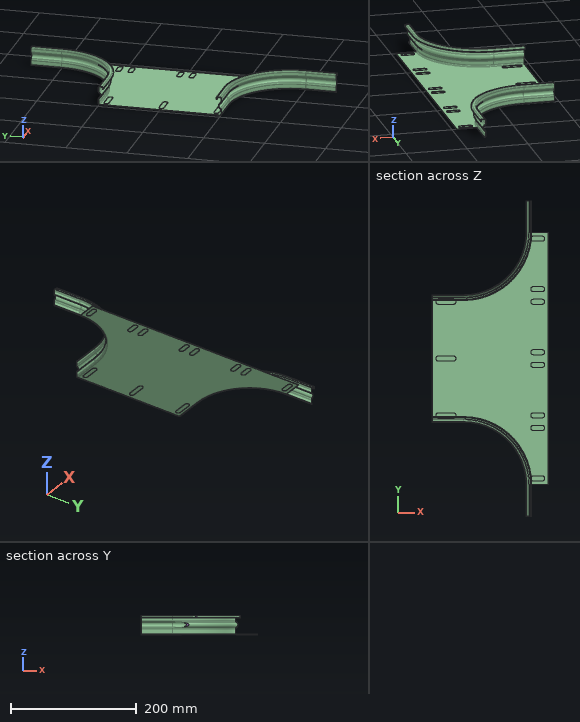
import cadquery as cq
import math

total_x = 185.0
total_y = 501.0
height = 31.0
sheet = 1.0

straight = 50.0
turn_radius = 99.0
turn_x = straight
turn_y = total_y / 2 - straight
wall_x = turn_x + turn_radius
wall_y = turn_y - turn_radius

bend_radius = 2.5
bead_depth = 4.0
bead_half_height = 7.0
bead_crest_radius = 4.5
bead_z = 16.0
lip_width = 9.0
curl_radius = 2.5
curl_end_angle = -60
touch_gap = 0.005

slot_width = 8.0
slot_depth = 0.5
mouth_slot_start = 6.0
mouth_slot_length = 32.0
mouth_slot_spacing = 90.0
back_slot_length = 22.0
back_slot_margin = 6.0
back_slot_y = (10.0, 90.0, 110.0, 190.5)


def section_bends():
    """Bends from floor to lip: centre, outer skin radius, start and end angle, thickness direction."""
    radius_sum = (bead_depth**2 + bead_half_height**2) / (2 * bead_depth)
    root_radius = radius_sum - bead_crest_radius
    sweep = math.degrees(math.asin(bead_half_height / radius_sum))
    curl_centre = (lip_width - curl_radius, height - curl_radius)
    return [
        ((bend_radius, bend_radius), bend_radius, 270, 180, -1),
        ((root_radius, bead_z - bead_half_height), root_radius, 180, 180 - sweep, -1),
        ((bead_depth - bead_crest_radius, bead_z), bead_crest_radius, -sweep, sweep, 1),
        ((root_radius, bead_z + bead_half_height), root_radius, 180 + sweep, 180, -1),
        ((bend_radius, height - bend_radius), bend_radius, 180, 90, -1),
        (curl_centre, curl_radius, 90, curl_end_angle, -1),
    ]


def skin_arcs(depth):
    """Start, middle and end point of every bend on the skin at this depth in the sheet."""
    arcs = []
    for (u, z), radius, start, end, direction in section_bends():
        skin_radius = radius + direction * depth
        angles = [math.radians(a) for a in (start, (start + end) / 2, end)]
        arcs.append([(u + skin_radius * math.cos(a), z + skin_radius * math.sin(a)) for a in angles])
    return arcs


def wall_section(plane):
    """Closed wall section: up the outer skin and back down the inner one."""
    outer = skin_arcs(0)
    inner = [arc[::-1] for arc in reversed(skin_arcs(sheet))]
    section = cq.Workplane(plane).moveTo(*outer[0][0])
    section = section.threePointArc(*outer[0][1:])
    last_end = outer[0][2]
    for start, middle, end in outer[1:] + inner:
        if math.dist(last_end, start) > touch_gap:
            section = section.lineTo(*start)
        section = section.threePointArc(middle, end)
        last_end = end
    return section.close()


def wall():
    """Wall on the +Y side: along the X arm, round the turn and out along the Y arm."""
    x_plane = cq.Plane(origin=(turn_x, wall_y, 0), xDir=(0, -1, 0), normal=(-1, 0, 0))
    y_plane = cq.Plane(origin=(wall_x, turn_y, 0), xDir=(1, 0, 0), normal=(0, -1, 0))
    x_run = wall_section(x_plane).extrude(straight)
    turn = wall_section(y_plane).revolve(90, (-turn_radius, 0), (-turn_radius, -1))
    y_run = wall_section(y_plane).extrude(-straight)
    return x_run.union(turn).union(y_run)


def floor():
    """Flat floor, meeting the walls where their bottom bends begin."""
    edge_x = wall_x + bend_radius
    edge_y = wall_y - bend_radius
    edge_radius = turn_radius + bend_radius
    diagonal = edge_radius * math.sqrt(0.5)
    middle_x = turn_x + diagonal
    middle_y = turn_y - diagonal
    return (
        cq.Workplane("XY")
        .moveTo(0, -edge_y)
        .lineTo(turn_x, -edge_y)
        .threePointArc((middle_x, -middle_y), (edge_x, -turn_y))
        .lineTo(total_x, -turn_y)
        .lineTo(total_x, turn_y)
        .lineTo(edge_x, turn_y)
        .threePointArc((middle_x, middle_y), (turn_x, edge_y))
        .lineTo(0, edge_y)
        .close()
        .extrude(sheet)
    )


def slots(centres, length):
    """Cutters for a set of shallow slots lying along X, sunk into the top of the floor."""
    top = cq.Workplane("XY").workplane(offset=sheet)
    return top.pushPoints(centres).slot2D(length, slot_width).extrude(-slot_depth)


mouth_slot_x = mouth_slot_start + mouth_slot_length / 2
back_slot_x = total_x - back_slot_margin - back_slot_length / 2
mouth_centres = [(mouth_slot_x, side * mouth_slot_spacing) for side in (-1, 0, 1)]
back_centres = [(back_slot_x, side * y) for y in back_slot_y for side in (-1, 1)]

upper_wall = wall()
result = (
    floor()
    .cut(slots(mouth_centres, mouth_slot_length))
    .cut(slots(back_centres, back_slot_length))
    .union(upper_wall)
    .union(upper_wall.mirror("XZ"))
)